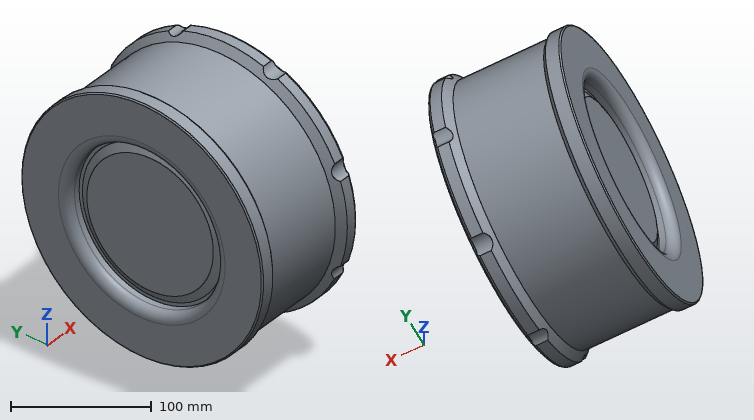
import cadquery as cq
import math


TOTAL_LENGTH = 106.0
REAR_FLANGE_DIAMETER = 224.0

PLATE_DIAMETER = 216.0
PLATE_THICKNESS = 1.5

FRONT_FLANGE_DIAMETER = 218.0
BARREL_DIAMETER = 212.0
FRONT_FLANGE_END = 11.9
REAR_FLANGE_START = 93.6
FRONT_CHAMFER = 1.1
REAR_CHAMFER_LENGTH = 1.5
REAR_CHAMFER_DEPTH = 1.0
HOUSING_LENGTH = TOTAL_LENGTH - PLATE_THICKNESS
BARREL_START = FRONT_FLANGE_END + (FRONT_FLANGE_DIAMETER - BARREL_DIAMETER) / 2
BARREL_END = REAR_FLANGE_START - (REAR_FLANGE_DIAMETER - BARREL_DIAMETER) / 2

NOTCH_COUNT = 8
NOTCH_WIDTH = 14.3
NOTCH_DEPTH = 3.1

RECESS_DIAMETER = 134.0
MOUTH_RADIUS = 8.0

LENS_BEVEL_DIAMETER = 128.1
LENS_FACE_DIAMETER = 114.0
LENS_FACE_DEPTH = 9.6
LENS_RIM_DEPTH = 13.5
LENS_RIM_THICKNESS = LENS_RIM_DEPTH - LENS_FACE_DEPTH
RECESS_DEPTH = LENS_RIM_DEPTH + LENS_RIM_THICKNESS


def revolve_about_x(profile):
    """Revolve a closed profile of (x, radius) about the X axis."""
    return profile.close().revolve(360, (0, 0, 0), (1, 0, 0))


def make_housing_blank():
    front_radius = FRONT_FLANGE_DIAMETER / 2
    barrel_radius = BARREL_DIAMETER / 2
    rear_radius = REAR_FLANGE_DIAMETER / 2
    recess_radius = RECESS_DIAMETER / 2
    mouth_mid_offset = MOUTH_RADIUS * (1 - math.sin(math.radians(45)))
    profile = (
        cq.Workplane("XY")
        .moveTo(RECESS_DEPTH, 0)
        .lineTo(RECESS_DEPTH, recess_radius)
        .lineTo(MOUTH_RADIUS, recess_radius)
        .threePointArc(
            (mouth_mid_offset, recess_radius + mouth_mid_offset),
            (0, recess_radius + MOUTH_RADIUS),
        )
        .lineTo(0, front_radius - FRONT_CHAMFER)
        .lineTo(FRONT_CHAMFER, front_radius)
        .lineTo(FRONT_FLANGE_END, front_radius)
        .lineTo(BARREL_START, barrel_radius)
        .lineTo(BARREL_END, barrel_radius)
        .lineTo(REAR_FLANGE_START, rear_radius)
        .lineTo(HOUSING_LENGTH - REAR_CHAMFER_LENGTH, rear_radius)
        .lineTo(HOUSING_LENGTH, rear_radius - REAR_CHAMFER_DEPTH)
        .lineTo(HOUSING_LENGTH, 0)
    )
    return revolve_about_x(profile)


def make_notch_cutters():
    """Round bars along X, placed so that each cuts one grip notch."""
    notch_radius = (NOTCH_WIDTH**2 / 4 + NOTCH_DEPTH**2) / (2 * NOTCH_DEPTH)
    centre_radius = REAR_FLANGE_DIAMETER / 2 - NOTCH_DEPTH + notch_radius
    half_pitch = 180 / NOTCH_COUNT
    return (
        cq.Workplane("YZ", origin=(BARREL_END, 0, 0))
        .polarArray(centre_radius, half_pitch, 360, NOTCH_COUNT)
        .circle(notch_radius)
        .extrude(HOUSING_LENGTH - BARREL_END)
    )


def make_housing():
    return make_housing_blank().cut(make_notch_cutters())


def make_lens():
    profile = (
        cq.Workplane("XY")
        .moveTo(LENS_FACE_DEPTH, 0)
        .lineTo(LENS_FACE_DEPTH, LENS_FACE_DIAMETER / 2)
        .lineTo(LENS_RIM_DEPTH, LENS_BEVEL_DIAMETER / 2)
        .lineTo(LENS_RIM_DEPTH, RECESS_DIAMETER / 2)
        .lineTo(RECESS_DEPTH, RECESS_DIAMETER / 2)
        .lineTo(RECESS_DEPTH, 0)
    )
    return revolve_about_x(profile)


def make_rear_plate():
    return (
        cq.Workplane("YZ", origin=(HOUSING_LENGTH, 0, 0))
        .circle(PLATE_DIAMETER / 2)
        .extrude(PLATE_THICKNESS)
    )


housing = make_housing()
lens = make_lens()
rear_plate = make_rear_plate()

result = cq.Compound.makeCompound([housing.val(), lens.val(), rear_plate.val()])